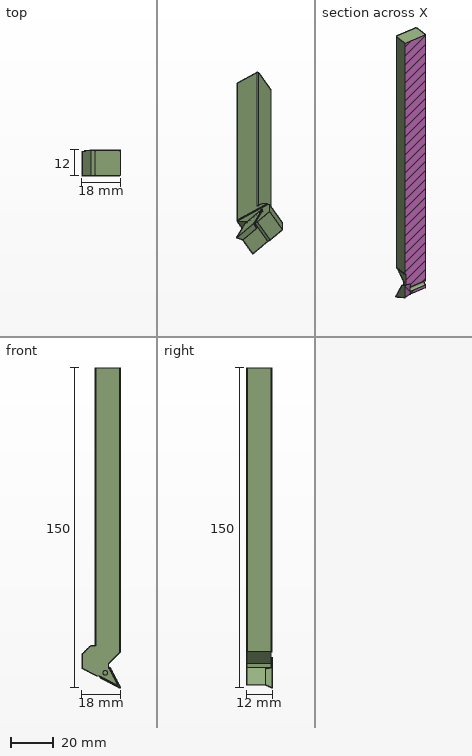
import cadquery as cq
import math

tip_x = 18.0
total_height = 150.0

shank_size = 12.0
shank_right = tip_x
shank_left = shank_right - shank_size
shank_edge_chamfer = 0.5

insert_circle = 6.35
insert_angle = 35.0
insert_thickness = 3.18
insert_clearance = 11.0
insert_nose_radius = 0.2
rake_y = 12.04
seat_y = rake_y - insert_thickness
half_angle = math.radians(insert_angle / 2)
half_length = insert_circle / 2 / math.sin(half_angle)
half_width = insert_circle / 2 / math.cos(half_angle)
nose_trim = insert_nose_radius * (1 / math.sin(half_angle) / math.sqrt(2) - 1)
center_offset = half_length / math.sqrt(2) - nose_trim
sharp_tip_x = tip_x + nose_trim
sharp_tip_z = -nose_trim
center_x = tip_x - center_offset
center_z = center_offset
flank_setback = insert_thickness * math.tan(math.radians(insert_clearance))

head_top = 20.0
head_top_left = 4.0
head_chamfer_bottom = head_top - head_top_left
rake_relief_top = 17.0
rake_relief_depth = 0.5
step_z = 5.7
step_x = 12.4
bend_z = 17.1
throat_z = bend_z - (shank_right - step_x)
screw_hole_diameter = 2.2

steep_angle = math.radians(45) + half_angle
shallow_angle = math.radians(45) - half_angle
shallow_slope = math.tan(shallow_angle)


def rhombus_points(setback):
    """Corners of the insert outline with every side moved inward by setback."""
    scale = 1 - setback / (insert_circle / 2)
    length = half_length * scale / math.sqrt(2)
    width = half_width * scale / math.sqrt(2)
    return [
        (center_x + length, center_z - length),
        (center_x + width, center_z + width),
        (center_x - length, center_z + length),
        (center_x - width, center_z - width),
    ]


def insert_wire(setback, y):
    """Closed insert outline in the plane at y, with its two acute corners rounded."""
    corners = [cq.Vector(x, y, z) for x, z in rhombus_points(setback)]
    wire = cq.Wire.makePolygon(corners, close=True)
    acute_corners = [v for v in wire.Vertices() if abs(v.X - center_x) > center_offset / 2]
    return wire.fillet2D(insert_nose_radius, acute_corners)


def make_insert():
    """Solid insert, wide at the rake face and tapering towards its seat."""
    seat_wire = insert_wire(flank_setback, seat_y)
    rake_wire = insert_wire(0, rake_y)
    return cq.Workplane(obj=cq.Solid.makeLoft([seat_wire, rake_wire], True))


def extrude_to_back(sketch, depth):
    """Extrude an XZ sketch from Y = 0 towards +Y."""
    return sketch.extrude(-depth)


def make_shank():
    shank = cq.Workplane("XY").box(shank_size, shank_size, total_height - head_top, centered=False)
    shank = shank.edges("|Z").chamfer(shank_edge_chamfer)
    return shank.translate((shank_left, 0, head_top))


def make_head():
    nose_offset = flank_setback / math.sin(half_angle) / math.sqrt(2)
    nose_x = sharp_tip_x - nose_offset
    nose_z = sharp_tip_z + nose_offset
    lower_step_x = nose_x - (step_z - nose_z) / shallow_slope
    upper_step_z = nose_z + (nose_x - step_x) * math.tan(steep_angle)
    kink_x = sharp_tip_x - (step_z - sharp_tip_z) / shallow_slope
    outline = [
        (shank_right, head_top),
        (head_top_left, head_top),
        (0, head_chamfer_bottom),
        (0, sharp_tip_z + sharp_tip_x * shallow_slope),
        (kink_x, step_z),
        (lower_step_x, step_z),
        (nose_x, nose_z),
        (step_x, upper_step_z),
        (step_x, throat_z),
        (shank_right, bend_z),
    ]
    head = extrude_to_back(cq.Workplane("XZ").polyline(outline).close(), shank_size)
    head = head.edges("|Y").edges("<Z").fillet(insert_nose_radius)
    return head.faces(">X").edges("|Z").chamfer(shank_edge_chamfer)


def make_rake_relief():
    relief = cq.Workplane("XY").box(tip_x, rake_relief_depth, rake_relief_top, centered=False)
    return relief.translate((0, shank_size - rake_relief_depth, 0))


def make_screw_hole():
    hole = cq.Workplane("XZ").center(center_x, center_z).circle(screw_hole_diameter / 2)
    return extrude_to_back(hole, seat_y)


insert = make_insert()
holder = make_head().union(make_shank())
holder = holder.cut(make_rake_relief()).cut(make_screw_hole()).cut(insert)

result = cq.Compound.makeCompound([holder.val(), insert.val()])